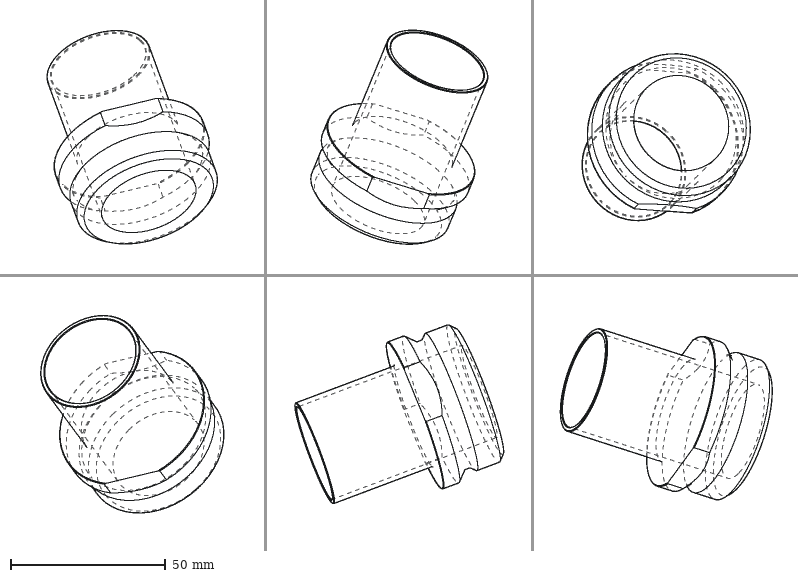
import cadquery as cq
import math

total_length = 57.5
flange_start = 35.0
cone_start = 40.75
collar_start = 47.7

bore_diameter = 32.0
tube_diameter = 35.0
flange_diameter = 51.0
groove_diameter = 44.4
collar_diameter = 47.7

tube_edge_chamfer = 0.25
bore_edge_chamfer = 0.25
neck_fillet = 0.8
flange_edge_chamfer = 0.25
groove_corner_radius = 0.8
collar_edge_chamfer = 1.95

across_flats = 47.1

bore_radius = bore_diameter / 2
tube_radius = tube_diameter / 2
flange_radius = flange_diameter / 2
groove_radius = groove_diameter / 2
collar_radius = collar_diameter / 2

wall_angle = math.radians(45)
half_wall_angle = wall_angle / 2
cos_45 = math.cos(wall_angle)


def outer_body():
    """Solid of revolution about X: tube, flange, V-sided groove and collar."""
    groove_floor_start = cone_start + flange_radius - groove_radius
    groove_floor_end = collar_start - (collar_radius - groove_radius)
    tangent_length = groove_corner_radius * math.tan(half_wall_angle)
    wall_offset = tangent_length * cos_45
    arc_mid_run = groove_corner_radius * math.sin(half_wall_angle)
    arc_mid_rise = groove_corner_radius * (1 - math.cos(half_wall_angle))
    left_tangent = groove_floor_start + tangent_length
    right_tangent = groove_floor_end - tangent_length
    wall_foot_radius = groove_radius + wall_offset

    neck_mid_offset = neck_fillet * (1 - cos_45)

    profile = (
        cq.Workplane("XY")
        .moveTo(0, 0)
        .lineTo(0, tube_radius - tube_edge_chamfer)
        .lineTo(tube_edge_chamfer, tube_radius)
        .lineTo(flange_start - neck_fillet, tube_radius)
        .threePointArc(
            (flange_start - neck_mid_offset, tube_radius + neck_mid_offset),
            (flange_start, tube_radius + neck_fillet),
        )
        .lineTo(flange_start, flange_radius - flange_edge_chamfer)
        .lineTo(flange_start + flange_edge_chamfer, flange_radius)
        .lineTo(cone_start, flange_radius)
        .lineTo(groove_floor_start - wall_offset, wall_foot_radius)
        .threePointArc(
            (left_tangent - arc_mid_run, groove_radius + arc_mid_rise),
            (left_tangent, groove_radius),
        )
        .lineTo(right_tangent, groove_radius)
        .threePointArc(
            (right_tangent + arc_mid_run, groove_radius + arc_mid_rise),
            (groove_floor_end + wall_offset, wall_foot_radius),
        )
        .lineTo(collar_start, collar_radius)
        .lineTo(total_length - collar_edge_chamfer, collar_radius)
        .lineTo(total_length, collar_radius - collar_edge_chamfer)
        .lineTo(total_length, 0)
        .close()
    )
    return profile.revolve(360, (0, 0, 0), (1, 0, 0))


def cut_wrench_flats(body):
    """Trim the flange and its cone to two parallel flats facing +Z and -Z."""
    flat_length = (cone_start + collar_start) / 2 - flange_start
    flat_center = flange_start + flat_length / 2
    cut_depth = flange_radius
    for side in (1, -1):
        cutter = cq.Workplane("XY").box(flat_length, flange_diameter, cut_depth)
        center_height = side * (across_flats + cut_depth) / 2
        body = body.cut(cutter.translate((flat_center, 0, center_height)))
    return body


def cut_bore(body):
    """Open the straight through bore and chamfer its mouth at the tube end."""
    bore = cq.Workplane("YZ").circle(bore_radius).extrude(total_length)
    mouth = (
        cq.Workplane("XY")
        .lineTo(0, bore_radius + bore_edge_chamfer)
        .lineTo(bore_edge_chamfer, bore_radius)
        .lineTo(bore_edge_chamfer, 0)
        .close()
        .revolve(360, (0, 0, 0), (1, 0, 0))
    )
    return body.cut(bore).cut(mouth)


result = cut_bore(cut_wrench_flats(outer_body()))